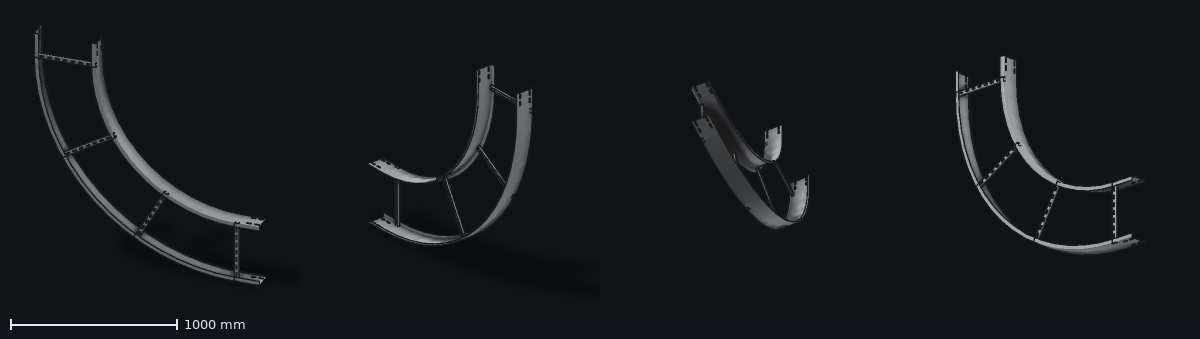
import cadquery as cq
import math

SPAN = 1450.0
HEIGHT = 120.0
LADDER_WIDTH = 400.0
END_LENGTH = 150.0

SHEET = 2.0
BEND_RADIUS = 5.0
FLANGE_WIDTH = 30.0
LIP_WIDTH = 12.0
LIP_RETURN = 10.0

RUNG_COUNT = 4
RUNG_WIDTH = 30.0
RUNG_DEPTH = 16.0
RUNG_LIP = 7.0
RUNG_BEND = 3.0

SLOT_WIDTH = 7.0
RUNG_SLOT_LENGTH = 25.0
RUNG_SLOT_COUNT = 7
RUNG_SLOT_SPREAD = 300.0
END_SLOT_LENGTH = 30.0
END_SLOT_COUNT = 2
END_ROW_SPACING = 74.0

half_height = HEIGHT / 2
outer_radius = SPAN - END_LENGTH
inner_radius = outer_radius - LADDER_WIDTH
bend_center = SPAN - END_LENGTH
slot_pitch = RUNG_SLOT_SPREAD / (RUNG_SLOT_COUNT - 1)
rung_length = LADDER_WIDTH - 2 * BEND_RADIUS
rung_middle_radius = (outer_radius + inner_radius) / 2
slot_cut_depth = 2 * SHEET
rung_front = -half_height + SHEET


def rail_section(web_x, side):
    """Sheet section at the top end; the flanges point along X in the direction of side (+1 or -1)."""
    inner_bend = BEND_RADIUS - SHEET
    web_end = half_height - BEND_RADIUS
    inside = half_height - SHEET
    lip_end = LIP_WIDTH - BEND_RADIUS
    hook_tip = half_height - LIP_RETURN
    outer_turn = -side * BEND_RADIUS
    inner_turn = side * inner_bend

    def at(depth, y):
        return (side * depth, y)

    return (
        cq.Workplane("XY", origin=(web_x, 0, SPAN))
        .moveTo(*at(LIP_WIDTH, hook_tip))
        .lineTo(*at(LIP_WIDTH, web_end))
        .radiusArc(at(lip_end, half_height), outer_turn)
        .lineTo(*at(BEND_RADIUS, half_height))
        .radiusArc(at(0, web_end), outer_turn)
        .lineTo(*at(0, -web_end))
        .radiusArc(at(BEND_RADIUS, -half_height), outer_turn)
        .lineTo(*at(FLANGE_WIDTH, -half_height))
        .lineTo(*at(FLANGE_WIDTH, -inside))
        .lineTo(*at(BEND_RADIUS, -inside))
        .radiusArc(at(SHEET, -web_end), inner_turn)
        .lineTo(*at(SHEET, web_end))
        .radiusArc(at(BEND_RADIUS, inside), inner_turn)
        .lineTo(*at(lip_end, inside))
        .radiusArc(at(LIP_WIDTH - SHEET, web_end), inner_turn)
        .lineTo(*at(LIP_WIDTH - SHEET, hook_tip))
        .close()
    )


def rail_path(web):
    """Path of a web's outer face: straight down, a quarter bend, straight along X."""
    radius = bend_center - web
    mid = bend_center - radius * math.sqrt(0.5)
    return (
        cq.Workplane("XZ")
        .moveTo(web, SPAN)
        .lineTo(web, bend_center)
        .threePointArc((mid, mid), (bend_center, web))
        .lineTo(SPAN, web)
    )


def end_slots(web):
    """Cutters for the slots through the web at both ends of a rail."""
    places = [
        (SPAN - (i + 0.5) * slot_pitch, row * END_ROW_SPACING / 2)
        for i in range(END_SLOT_COUNT)
        for row in (-1, 1)
    ]
    horizontal = (
        cq.Workplane("XY", origin=(0, 0, web))
        .pushPoints(places)
        .slot2D(END_SLOT_LENGTH, SLOT_WIDTH)
        .extrude(slot_cut_depth, both=True)
    )
    vertical = (
        cq.Workplane("YZ", origin=(web, 0, 0))
        .pushPoints([(y, along) for along, y in places])
        .slot2D(END_SLOT_LENGTH, SLOT_WIDTH, 90)
        .extrude(slot_cut_depth, both=True)
    )
    return horizontal.union(vertical)


def make_rail(web, side):
    """One rail; the tangent lines between its straight and curved stretches are kept as edges."""
    return rail_section(web, side).sweep(rail_path(web), clean=False).cut(end_slots(web), clean=False)


def make_rung(angle):
    """One rung along the radius of the bend at the given angle (degrees) from -X towards -Z."""
    inside_width = RUNG_WIDTH - 2 * SHEET
    opening = RUNG_WIDTH - 2 * RUNG_LIP
    outside = cq.Workplane("XY").box(rung_length, RUNG_DEPTH, RUNG_WIDTH)
    outside = outside.edges("|X").fillet(RUNG_BEND)
    hollow = cq.Workplane("XY").box(rung_length, RUNG_DEPTH - 2 * SHEET, inside_width)
    hollow = hollow.edges("|X").fillet(RUNG_BEND - SHEET)
    gap = cq.Workplane("XY").box(rung_length, RUNG_DEPTH, opening).translate((0, SHEET, 0))
    slots = (
        cq.Workplane("XZ")
        .rarray(slot_pitch, 15, RUNG_SLOT_COUNT, 1)
        .slot2D(RUNG_SLOT_LENGTH, SLOT_WIDTH)
        .extrude(RUNG_DEPTH)
    )
    return (
        outside.cut(hollow)
        .cut(gap)
        .cut(slots)
        .translate((-rung_middle_radius, rung_front + RUNG_DEPTH / 2, 0))
        .rotate((0, 0, 0), (0, 1, 0), -angle)
        .translate((bend_center, 0, bend_center))
    )


outer_rail = make_rail(0, 1)
inner_rail = make_rail(LADDER_WIDTH, -1)
rungs = [make_rung(90 * i / (RUNG_COUNT - 1)) for i in range(RUNG_COUNT)]

result = cq.Compound.makeCompound(
    [outer_rail.val(), inner_rail.val(), *[rung.val() for rung in rungs]]
)